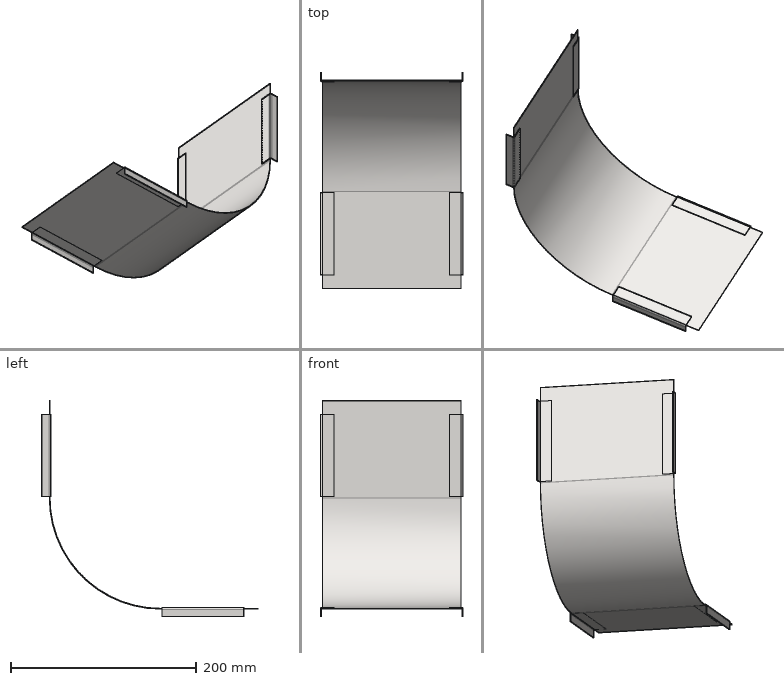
import cadquery as cq
import math

envelope = 233.2

sheet_width = 150.0
sheet_thickness = 0.8
flat_length = 105.0

bracket_length = 88.6
bracket_height = 10.0
bracket_thickness = 1.0
bend_radius = 1.98
flange_overlap = 12.5
bracket_setback = 1.5

leg_drop = bracket_height - bracket_thickness - sheet_thickness
sheet_outer = envelope / 2 - leg_drop
sheet_inner = sheet_outer - sheet_thickness
sheet_end = envelope / 2
flat_start = sheet_end - flat_length
outer_radius = sheet_outer + flat_start
inner_radius = outer_radius - sheet_thickness


def make_sheet():
    """Horizontal flat, quarter-round bend and vertical flat in one sheet."""
    arc_center_y = -flat_start
    arc_center_z = flat_start
    diagonal = math.sqrt(0.5)
    outer_mid = (arc_center_y + outer_radius * diagonal, arc_center_z - outer_radius * diagonal)
    inner_mid = (arc_center_y + inner_radius * diagonal, arc_center_z - inner_radius * diagonal)
    return (
        cq.Workplane("YZ")
        .moveTo(-sheet_end, -sheet_outer)
        .lineTo(arc_center_y, -sheet_outer)
        .threePointArc(outer_mid, (sheet_outer, arc_center_z))
        .lineTo(sheet_outer, sheet_end)
        .lineTo(sheet_inner, sheet_end)
        .lineTo(sheet_inner, arc_center_z)
        .threePointArc(inner_mid, (arc_center_y, -sheet_inner))
        .lineTo(-sheet_end, -sheet_inner)
        .close()
        .extrude(sheet_width / 2, both=True)
    )


def make_bracket():
    """Right-hand angle bracket on the horizontal flat, its leg pointing down."""
    sheet_edge = sheet_width / 2
    flange_top = bracket_thickness - sheet_inner
    leg_outer = sheet_edge + bend_radius
    leg_inner = leg_outer - bracket_thickness
    leg_bottom = -envelope / 2
    bend_center_z = flange_top - bend_radius
    inner_bend_radius = bend_radius - bracket_thickness
    return (
        cq.Workplane("XZ", origin=(0, -flat_start - bracket_setback, 0))
        .moveTo(sheet_edge - flange_overlap, -sheet_inner)
        .lineTo(sheet_edge - flange_overlap, flange_top)
        .lineTo(sheet_edge, flange_top)
        .radiusArc((leg_outer, bend_center_z), bend_radius)
        .lineTo(leg_outer, leg_bottom)
        .lineTo(leg_inner, leg_bottom)
        .lineTo(leg_inner, bend_center_z)
        .radiusArc((sheet_edge, -sheet_inner), -inner_bend_radius)
        .close()
        .extrude(bracket_length)
    )


def to_vertical_flat(bracket):
    """Mirror a horizontal bracket across the plane Y = -Z, onto the vertical flat."""
    return bracket.rotate((0, 0, 0), (1, 0, 0), 90).mirror("XY")


sheet = make_sheet()

brackets = []
right_bracket = make_bracket()
for horizontal_bracket in (right_bracket, right_bracket.mirror("YZ")):
    brackets.append(horizontal_bracket.val())
    brackets.append(to_vertical_flat(horizontal_bracket).val())

result = cq.Compound.makeCompound([sheet.val(), *brackets])